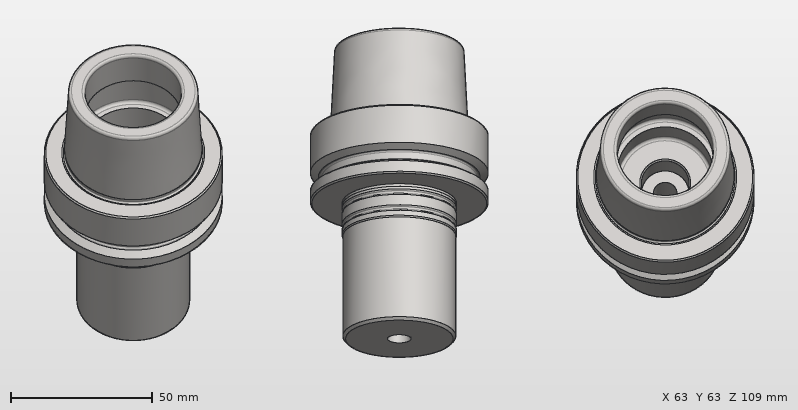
import cadquery as cq

total_height = 109.0
flange_top = 77.0
flange_bottom = 51.0

taper_top_radius = 22.9
taper_slope = 0.05
taper_bottom = 78.8
collar_radius = 48.2 / 2
collar_chamfer_height = 0.3
rim_fillet = 1.1

recess_radius = 25.3
recess_depth = 0.2
recess_fillet = 0.7

flange_radius = 63.0 / 2
flange_chamfer = 0.5
groove_radius = 27.7
groove_top = 60.8
groove_bottom = 57.2
groove_fillet = 0.5
flare_width = 2.8
flare_height = 1.6

shank_radius = 40.0 / 2
ring_radius = 40.5 / 2
ring_chamfer_height = 0.5
relief_height = 1.0
relief_depth = 0.2
top_ring_bottom = 48.5
middle_ring_height = 5.0
bottom_ring_height = 2.9
foot_chamfer_width = 1.0
foot_chamfer_height = 1.0

mouth_radius = 34.0 / 2
undercut_radius = 40.0 / 2
undercut_top = 96.1
undercut_bottom = 82.0
bore_floor = 70.0
floor_fillet = 1.2
socket_radius = 16.9 / 2
socket_chamfer = 0.5
socket_floor = 58.0
through_radius = 8.4 / 2


def revolve(outline):
    """Close an outline drawn as (radius, height) and sweep it around Z."""
    return outline.close().revolve(360, (0, 0), (0, 1))


def add_relief(outline, radius, top):
    """Go down along a round-bottomed relief cut into a cylinder of the given radius."""
    deepest = (radius - relief_depth, top - relief_height / 2)
    return outline.threePointArc(deepest, (radius, top - relief_height))


def add_ring(outline, top, height):
    """Go down along a raised ring chamfered at both ends."""
    bottom = top - height
    outline = outline.lineTo(ring_radius, top - ring_chamfer_height)
    outline = outline.lineTo(ring_radius, bottom + ring_chamfer_height)
    return outline.lineTo(shank_radius, bottom)


def make_taper():
    taper_bottom_radius = taper_top_radius + taper_slope * (total_height - taper_bottom)
    fillet_end = collar_radius + recess_fillet
    recess_floor = flange_top - recess_depth
    outline = (
        cq.Workplane("XZ")
        .moveTo(0, total_height)
        .lineTo(taper_top_radius, total_height)
        .lineTo(taper_bottom_radius, taper_bottom)
        .lineTo(collar_radius, taper_bottom - collar_chamfer_height)
        .lineTo(collar_radius, recess_floor + recess_fillet)
        .radiusArc((fillet_end, recess_floor), -recess_fillet)
        .lineTo(recess_radius, flange_top)
        .lineTo(recess_radius, flange_bottom)
        .lineTo(0, flange_bottom)
    )
    return revolve(outline).faces(">Z").edges().fillet(rim_fillet)


def make_flange():
    """Chamfered flange ring around the foot of the taper, with the gripper groove."""
    flare_radius = flange_radius - flare_width
    groove_fillet_end = groove_radius + groove_fillet
    outline = (
        cq.Workplane("XZ")
        .moveTo(recess_radius, flange_top)
        .lineTo(flange_radius - flange_chamfer, flange_top)
        .lineTo(flange_radius, flange_top - flange_chamfer)
        .lineTo(flange_radius, groove_top + flare_height)
        .lineTo(flare_radius, groove_top)
        .lineTo(groove_fillet_end, groove_top)
        .radiusArc((groove_radius, groove_top - groove_fillet), -groove_fillet)
        .lineTo(groove_radius, groove_bottom + groove_fillet)
        .radiusArc((groove_fillet_end, groove_bottom), -groove_fillet)
        .lineTo(flare_radius, groove_bottom)
        .lineTo(flange_radius, groove_bottom - flare_height)
        .lineTo(flange_radius, flange_bottom + flange_chamfer)
        .lineTo(flange_radius - flange_chamfer, flange_bottom)
        .lineTo(recess_radius, flange_bottom)
    )
    return revolve(outline)


def make_shank():
    outline = cq.Workplane("XZ").moveTo(0, flange_bottom).lineTo(ring_radius, flange_bottom)
    outline = add_relief(outline, ring_radius, flange_bottom)
    outline = outline.lineTo(ring_radius, top_ring_bottom + ring_chamfer_height)
    height = top_ring_bottom
    outline = outline.lineTo(shank_radius, height)
    for ring_height in (middle_ring_height, bottom_ring_height):
        outline = add_relief(outline, shank_radius, height)
        outline = add_ring(outline, height - relief_height, ring_height)
        height -= relief_height + ring_height
    outline = (
        outline
        .lineTo(shank_radius, foot_chamfer_height)
        .lineTo(shank_radius - foot_chamfer_width, 0)
        .lineTo(0, 0)
    )
    return revolve(outline)


def make_bore():
    """Stepped cavity with an undercut, a rounded floor, a socket and a through hole."""
    outline = (
        cq.Workplane("XZ")
        .moveTo(0, total_height)
        .lineTo(mouth_radius + rim_fillet, total_height)
        .radiusArc((mouth_radius, total_height - rim_fillet), -rim_fillet)
        .lineTo(mouth_radius, undercut_top)
        .lineTo(undercut_radius, undercut_top)
        .lineTo(undercut_radius, undercut_bottom + floor_fillet)
        .radiusArc((undercut_radius - floor_fillet, undercut_bottom), floor_fillet)
        .lineTo(mouth_radius, undercut_bottom)
        .lineTo(mouth_radius, bore_floor + floor_fillet)
        .radiusArc((mouth_radius - floor_fillet, bore_floor), floor_fillet)
        .lineTo(socket_radius + socket_chamfer, bore_floor)
        .lineTo(socket_radius, bore_floor - socket_chamfer)
        .lineTo(socket_radius, socket_floor)
        .lineTo(through_radius, socket_floor)
        .lineTo(through_radius, 0)
        .lineTo(0, 0)
    )
    return revolve(outline)


result = make_taper().union(make_flange()).union(make_shank()).cut(make_bore())